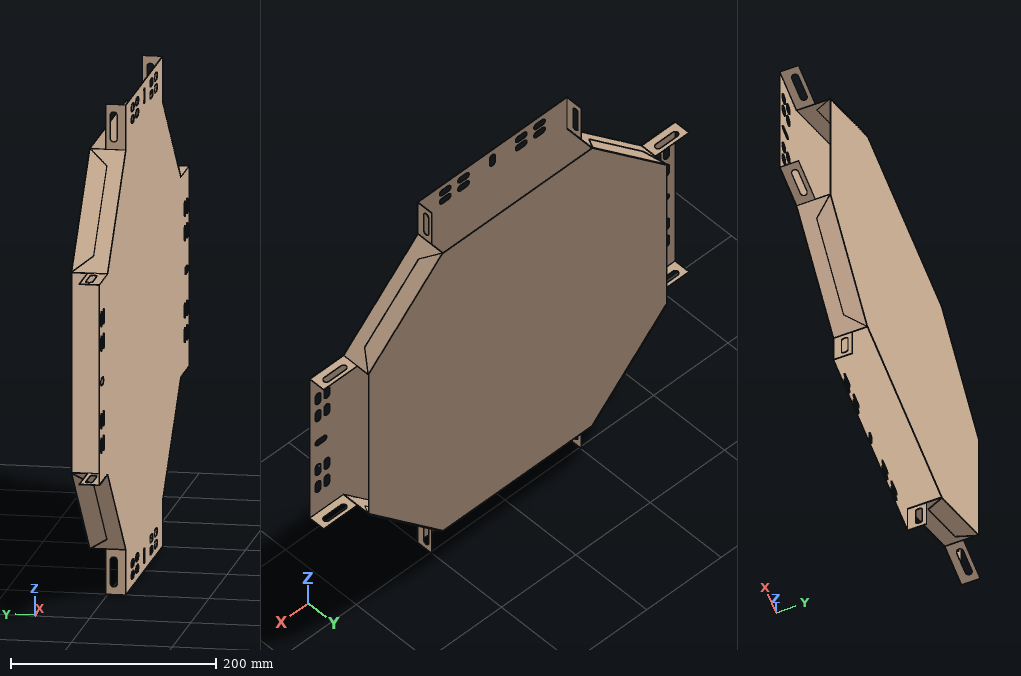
import cadquery as cq
import math


SPAN = 491.5
DEPTH = 36.5
SHEET = 0.7
ARM_WIDTH = 201.5
DIAGONAL_RUN = 99.5

HALF_SPAN = SPAN / 2
HALF_ARM = ARM_WIDTH / 2
SHOULDER = HALF_ARM + DIAGONAL_RUN
ARM_LENGTH = HALF_SPAN - SHOULDER

FLOOR_Y = -DEPTH / 2
COVER_Y = DEPTH / 2
WALL_HEIGHT = DEPTH - SHEET
WALL_TOP_Y = FLOOR_Y + WALL_HEIGHT

TAB_HEIGHT = 20.0
TAB_SLOT_LENGTH = 30.0
TAB_SLOT_WIDTH = 7.0
TAB_SLOT_HEIGHT = 12.5

SLOT_LENGTH = 15.0
SLOT_WIDTH = 7.5
SLOT_ROW_INSETS = (11.5, 23.0)
SLOT_OFFSETS = (39.0, 63.5)
CENTRE_SLOT_INSET = 15.0

LIP_DEPTH = 19.0

QUARTER_TURNS = (0, 90, 180, 270)


def xz_plane(y):
    """Sketch plane with local axes X and Z; negative distances extrude towards +Y."""
    return cq.Workplane("XZ", origin=(0, y, 0))


def turned(body, angle):
    """Copy of the body turned about the Y axis."""
    return body.rotate((0, 0, 0), (0, 1, 0), angle)


def cross_outline(y):
    """Outline of four straight arms joined by diagonal edges."""
    points = []
    for turn in QUARTER_TURNS:
        c = round(math.cos(math.radians(turn)))
        s = round(math.sin(math.radians(turn)))
        arm = [
            (SHOULDER, -HALF_ARM),
            (HALF_SPAN, -HALF_ARM),
            (HALF_SPAN, HALF_ARM),
            (SHOULDER, HALF_ARM),
        ]
        points += [(c * x - s * z, s * x + c * z) for x, z in arm]
    return xz_plane(y).polyline(points).close()


def make_rim(height):
    """Sheet-thick upright strip following the inside of the cross outline."""
    outer = cross_outline(FLOOR_Y).extrude(-height)
    inner = cross_outline(FLOOR_Y).offset2D(-SHEET, "intersection").extrude(-height)
    return outer.cut(inner)


def make_diagonal_walls():
    """The four full-height walls, ending where the straight arms begin."""
    core = cq.Workplane().box(2 * SHOULDER, 2 * DEPTH, 2 * SHOULDER)
    return make_rim(WALL_HEIGHT).intersect(core)


def make_side_tabs():
    """Low side tabs along the arms, open across each arm tip."""
    tabs = make_rim(TAB_HEIGHT)
    tip_width = ARM_WIDTH - 2 * SHEET
    for size in ((SPAN, DEPTH, tip_width), (tip_width, DEPTH, SPAN)):
        tip_opening = cq.Workplane().box(*size)
        tabs = tabs.cut(tip_opening)
    return tabs


def floor_slots():
    """Slot pattern of the +Z arm tip."""
    pair_centres = [
        (side * offset, HALF_SPAN - inset)
        for side in (-1, 1)
        for offset in SLOT_OFFSETS
        for inset in SLOT_ROW_INSETS
    ]
    crosswise = xz_plane(0).pushPoints(pair_centres).slot2D(SLOT_LENGTH, SLOT_WIDTH).extrude(DEPTH)
    lengthwise = (
        xz_plane(0)
        .center(0, HALF_SPAN - CENTRE_SLOT_INSET)
        .slot2D(SLOT_LENGTH, SLOT_WIDTH, 90)
        .extrude(DEPTH)
    )
    return crosswise.add(lengthwise).combine()


def tab_slot():
    """Cutter through both side tabs of the +Z arm."""
    return (
        cq.Workplane("YZ")
        .center(FLOOR_Y + TAB_SLOT_HEIGHT, HALF_SPAN - ARM_LENGTH / 2)
        .slot2D(TAB_SLOT_LENGTH, TAB_SLOT_WIDTH, 90)
        .extrude(HALF_SPAN / 2, both=True)
    )


def make_lip():
    """Trapezoid lip outside the +X +Z diagonal wall, tapering at 45 degrees away from the cover."""
    long_half = DIAGONAL_RUN / math.sqrt(2)
    short_half = long_half - LIP_DEPTH
    wall_centre = (HALF_ARM + SHOULDER) / 2
    wall_face = cq.Plane(origin=(wall_centre, WALL_TOP_Y, wall_centre), xDir=(1, 0, -1), normal=(1, 0, 1))
    return (
        cq.Workplane(wall_face)
        .polyline([
            (-long_half, 0),
            (long_half, 0),
            (short_half, -LIP_DEPTH),
            (-short_half, -LIP_DEPTH),
        ])
        .close()
        .extrude(SHEET)
    )


def make_tray():
    """Slotted floor with low side tabs on the arms and full-height diagonal walls."""
    tray = cross_outline(FLOOR_Y).extrude(-SHEET)
    tray = tray.union(make_side_tabs()).union(make_diagonal_walls())
    for angle in QUARTER_TURNS:
        tray = tray.cut(turned(floor_slots(), angle))
        tray = tray.cut(turned(tab_slot(), angle))
    return tray


def make_cover():
    """Octagonal sheet with four lips; each fold line stays as an edge."""
    half_edge = HALF_ARM + SHEET * math.sqrt(2)
    corners = []
    for sx, sz in ((1, 1), (-1, 1), (-1, -1), (1, -1)):
        pair = [(sx * SHOULDER, sz * half_edge), (sx * half_edge, sz * SHOULDER)]
        corners += pair if sx == sz else pair[::-1]
    cover = xz_plane(COVER_Y).polyline(corners).close().extrude(SHEET)
    for angle in QUARTER_TURNS:
        cover = cover.union(turned(make_lip(), angle), clean=False)
    return cover


tray = make_tray()
cover = make_cover()

result = cq.Compound.makeCompound([tray.val(), cover.val()])